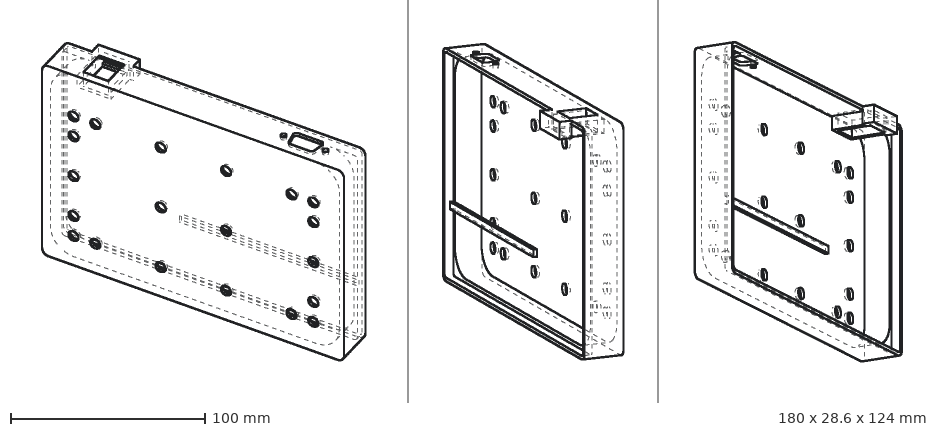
import cadquery as cq
import math

LENGTH = 180.0
HEIGHT = 124.0
TOTAL_DEPTH = 28.6
BODY_DEPTH = 22.0
CORNER_RADIUS = 4.0
PLATE_THICKNESS = 2.0
WALL = 2.0
CAVITY_WALL = 2 * WALL
CAVITY_CORNER_RADIUS = 14.0

RABBET_DEPTH = 5.0
RABBET_CORNER_RADIUS = CORNER_RADIUS - WALL
SEAT_Y = BODY_DEPTH - RABBET_DEPTH

RAIL_START_X = -18.0
RAIL_TOP_Z = -20.3
RAIL_HEIGHT = 4.0
RAIL_THICKNESS = 2.0

HOLE_DIAMETER = 6.0
HOLE_SPAN = 143.0
PITCHES_ACROSS = 11
HOLE_PITCH = HOLE_SPAN / PITCHES_ACROSS
HOLE_CENTRE_X = 0.2
HOLE_CENTRE_Z = -4.0
HOLE_COLUMNS = (
    (1.5, (-3, 0, 3)),
    (4.5, (-3, 3)),
    (PITCHES_ACROSS / 2, (-3, -2, 0, 2, 3)),
)

CONNECTOR_X = 60.1
CONNECTOR_Y = BODY_DEPTH / 2
CONNECTOR_WIDTH = 18.2
CONNECTOR_DEPTH = 9.9
CONNECTOR_SIDE_ANGLE = 10.0
CONNECTOR_CORNER_RADIUS = 2.0
CONNECTOR_SHIFT_Y = 0.4
SCREW_SPACING = 25.0
SCREW_DIAMETER = 3.0

JACK_X = -60.7
JACK_HEIGHT = 9.4
JACK_WIDTH = 20.3
JACK_FRONT_Y = 2.7
BLOCK_WIDTH = 24.7
OPENING_WIDTH = 14.8
OPENING_FRONT_Y = 4.9
OPENING_BACK_Y = 20.9
HOOK_LIP = 1.5
HOOK_BACK_Y = 26.0
SILL_THICKNESS = 2.0
SILL_FRONT_Y = 24.0

TOP_Z = HEIGHT / 2


def box_between(x_centre, x_width, y_front, y_back, z_bottom, z_top):
    """Box centred in X and bounded in Y and Z."""
    return (
        cq.Workplane("XY")
        .box(x_width, y_back - y_front, z_top - z_bottom, centered=(True, False, False))
        .translate((x_centre, y_front, z_bottom))
    )


def rounded_box(x_width, y_front, y_back, z_bottom, z_top, radius):
    """Box centred in X whose four corners, seen along Y, are rounded."""
    return box_between(0, x_width, y_front, y_back, z_bottom, z_top).edges("|Y").fillet(radius)


def make_tray():
    tray = rounded_box(LENGTH, 0, BODY_DEPTH, -TOP_Z, TOP_Z, CORNER_RADIUS)
    cavity = rounded_box(
        LENGTH - 2 * CAVITY_WALL, PLATE_THICKNESS, BODY_DEPTH,
        CAVITY_WALL - TOP_Z, TOP_Z - WALL, CAVITY_CORNER_RADIUS,
    )
    rabbet = rounded_box(
        LENGTH - 2 * WALL, SEAT_Y, BODY_DEPTH, WALL - TOP_Z, TOP_Z - WALL, RABBET_CORNER_RADIUS
    )
    return tray.cut(cavity).cut(rabbet)


def make_rail():
    end_x = LENGTH / 2 - WALL
    return box_between(
        (RAIL_START_X + end_x) / 2, end_x - RAIL_START_X,
        SEAT_Y, SEAT_Y + RAIL_THICKNESS, RAIL_TOP_Z - RAIL_HEIGHT, RAIL_TOP_Z,
    )


def mounting_hole_points():
    """Hole centres, mirrored left and right of the pattern centre."""
    points = []
    for column, rows in HOLE_COLUMNS:
        for row in rows:
            for side in (-1, 1):
                points.append((side * column * HOLE_PITCH, row * HOLE_PITCH))
    return points


def make_mounting_holes():
    return (
        cq.Workplane("XZ", origin=(HOLE_CENTRE_X, 0, HOLE_CENTRE_Z))
        .pushPoints(mounting_hole_points())
        .circle(HOLE_DIAMETER / 2)
        .extrude(-PLATE_THICKNESS)
    )


def make_connector_cutout():
    top_plane = cq.Workplane("XY", origin=(CONNECTOR_X, CONNECTOR_Y, TOP_Z - WALL))
    half_wide = CONNECTOR_WIDTH / 2
    half_narrow = half_wide - CONNECTOR_DEPTH * math.tan(math.radians(CONNECTOR_SIDE_ANGLE))
    back_y = CONNECTOR_DEPTH / 2 + CONNECTOR_SHIFT_Y
    front_y = back_y - CONNECTOR_DEPTH
    shell_hole = (
        top_plane.polyline(
            [
                (-half_wide, back_y),
                (half_wide, back_y),
                (half_narrow, front_y),
                (-half_narrow, front_y),
            ]
        )
        .close()
        .extrude(WALL)
        .edges("|Z")
        .fillet(CONNECTOR_CORNER_RADIUS)
    )
    screw_holes = (
        top_plane.pushPoints([(-SCREW_SPACING / 2, 0), (SCREW_SPACING / 2, 0)])
        .circle(SCREW_DIAMETER / 2)
        .extrude(WALL)
    )
    return shell_hole.union(screw_holes)


def add_jack_holder(body):
    bottom_z = TOP_Z - JACK_HEIGHT
    housing = box_between(JACK_X, JACK_WIDTH, JACK_FRONT_Y, BODY_DEPTH, bottom_z, TOP_Z)
    block = box_between(JACK_X, BLOCK_WIDTH, BODY_DEPTH, TOTAL_DEPTH, bottom_z, TOP_Z)
    opening = box_between(
        JACK_X, OPENING_WIDTH, OPENING_FRONT_Y, OPENING_BACK_Y, bottom_z, TOP_Z
    )
    hook_space = box_between(
        JACK_X, OPENING_WIDTH, OPENING_FRONT_Y, HOOK_BACK_Y,
        bottom_z + SILL_THICKNESS, TOP_Z - HOOK_LIP,
    )
    exit_space = box_between(
        JACK_X, OPENING_WIDTH, OPENING_FRONT_Y, SILL_FRONT_Y, bottom_z, TOP_Z - HOOK_LIP
    )
    body = body.union(housing).union(block)
    return body.cut(opening).cut(hook_space).cut(exit_space)


result = make_tray().union(make_rail())
result = result.cut(make_mounting_holes()).cut(make_connector_cutout())
result = add_jack_holder(result)